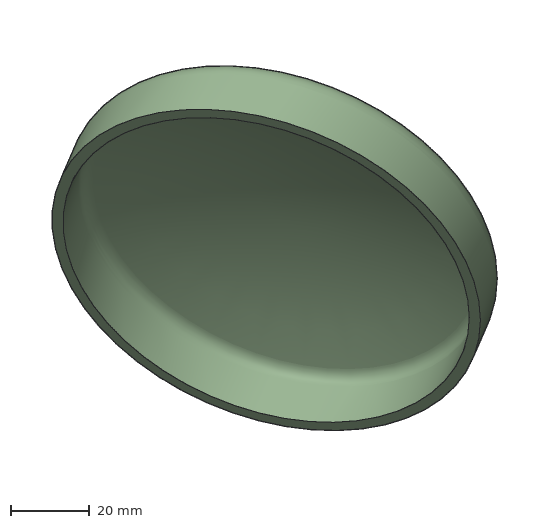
import cadquery as cq
import math

outer_radius = 57.2
total_depth = 29.0
rim_length = 13.0
knuckle_radius = 6.9
wall = 3.0

rim_y = -total_depth / 2
knuckle_x = outer_radius - knuckle_radius
knuckle_y = rim_y + rim_length

dish_rise = total_depth - rim_length
crown_radius = (knuckle_x**2 + dish_rise**2 - knuckle_radius**2) / (2 * (dish_rise - knuckle_radius))
crown_y = total_depth / 2 - crown_radius
crown_angle = math.asin(knuckle_x / (crown_radius - knuckle_radius))


def arc_point(center_x, center_y, radius, angle):
    """Point on an arc, with the angle measured from the +Y axis."""
    return center_x + radius * math.sin(angle), center_y + radius * math.cos(angle)


def dished_solid(inset):
    """Solid of revolution about Y whose outer surface is offset inward by inset."""
    knuckle = knuckle_radius - inset
    crown = crown_radius - inset
    knuckle_mid_angle = (crown_angle + math.pi / 2) / 2
    return (
        cq.Workplane("XY")
        .moveTo(0, rim_y)
        .lineTo(outer_radius - inset, rim_y)
        .lineTo(outer_radius - inset, knuckle_y)
        .threePointArc(
            arc_point(knuckle_x, knuckle_y, knuckle, knuckle_mid_angle),
            arc_point(knuckle_x, knuckle_y, knuckle, crown_angle),
        )
        .threePointArc(
            arc_point(0, crown_y, crown, crown_angle / 2),
            (0, crown_y + crown),
        )
        .close()
        .revolve(360, (0, 0, 0), (0, 1, 0))
    )


result = dished_solid(0).cut(dished_solid(wall))